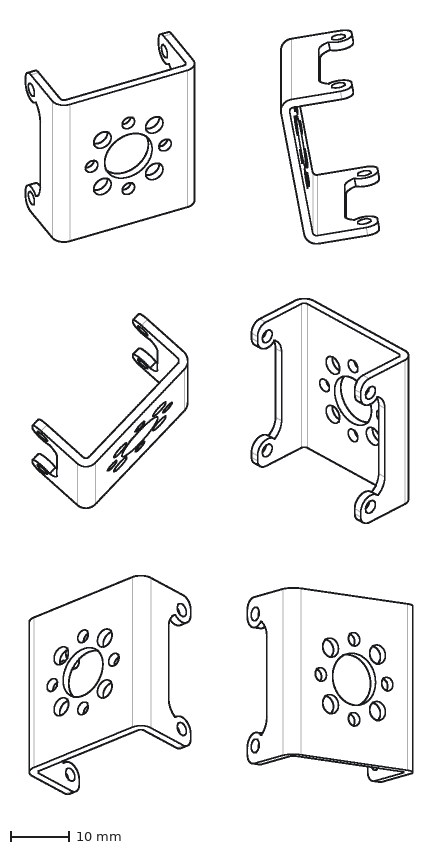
import cadquery as cq
import math

depth = 12.7
width = 26.87
height = 29.1
thickness = 1.5
bend_inner_radius = 0.7
bend_outer_radius = bend_inner_radius + thickness

lug_radius = 2.33
lug_hole_diameter = 2.33
lug_hole_inset = 3.03
corner_radius = 2.0

relief_depth = 5.73
relief_radius = 3.5
relief_end_inset = 7.6

center_hole_diameter = 9.02
bolt_circle_radius = 7.0
axial_hole_diameter = 2.33
diagonal_hole_diameter = 3.3

free_edge_x = -depth / 2
lug_x = free_edge_x + lug_radius
lug_z = height / 2 - lug_hole_inset
relief_x = free_edge_x + relief_depth
relief_end_z = height / 2 - relief_end_inset
relief_center_x = relief_x - relief_radius


def bent_channel():
    """U-channel with rounded bends, open toward -X."""
    outer = (
        cq.Workplane("XY")
        .box(depth, width, height)
        .edges(">X and |Z")
        .fillet(bend_outer_radius)
    )
    inner = (
        cq.Workplane("XY")
        .box(depth, width - 2 * thickness, height)
        .edges(">X and |Z")
        .fillet(bend_inner_radius)
        .translate((-thickness, 0, 0))
    )
    return outer.cut(inner)


def across_flanges():
    """Sketch plane whose symmetric extrusions cross both flanges."""
    return cq.Workplane("XZ")


def lug_relief():
    """Cutter for the free edge: rounded-end slot that leaves round lugs."""
    slot = (
        across_flanges()
        .moveTo(free_edge_x, -lug_z)
        .lineTo(lug_x, -lug_z)
        .lineTo(lug_x, -relief_end_z - relief_radius)
        .lineTo(relief_center_x, -relief_end_z - relief_radius)
        .radiusArc((relief_x, -relief_end_z), -relief_radius)
        .lineTo(relief_x, relief_end_z)
        .radiusArc((relief_center_x, relief_end_z + relief_radius), -relief_radius)
        .lineTo(lug_x, relief_end_z + relief_radius)
        .lineTo(lug_x, lug_z)
        .lineTo(free_edge_x, lug_z)
        .close()
        .extrude(width, both=True)
    )
    lugs = (
        across_flanges()
        .pushPoints([(lug_x, lug_z), (lug_x, -lug_z)])
        .circle(lug_radius)
        .extrude(width, both=True)
    )
    return slot.cut(lugs)


def lug_holes():
    return (
        across_flanges()
        .pushPoints([(lug_x, lug_z), (lug_x, -lug_z)])
        .circle(lug_hole_diameter / 2)
        .extrude(width, both=True)
    )


def web_holes():
    """Central opening ringed by alternating small and large holes."""
    holes = cq.Workplane("YZ").circle(center_hole_diameter / 2).extrude(depth)
    ring_count = 8
    for index in range(ring_count):
        angle = index * 2 * math.pi / ring_count
        diameter = axial_hole_diameter if index % 2 == 0 else diagonal_hole_diameter
        hole = (
            cq.Workplane("YZ")
            .center(bolt_circle_radius * math.cos(angle), bolt_circle_radius * math.sin(angle))
            .circle(diameter / 2)
            .extrude(depth)
        )
        holes = holes.union(hole)
    return holes


bracket = bent_channel()
bracket = bracket.edges("<X and |Y").fillet(corner_radius)
result = bracket.cut(lug_relief()).cut(lug_holes()).cut(web_holes())